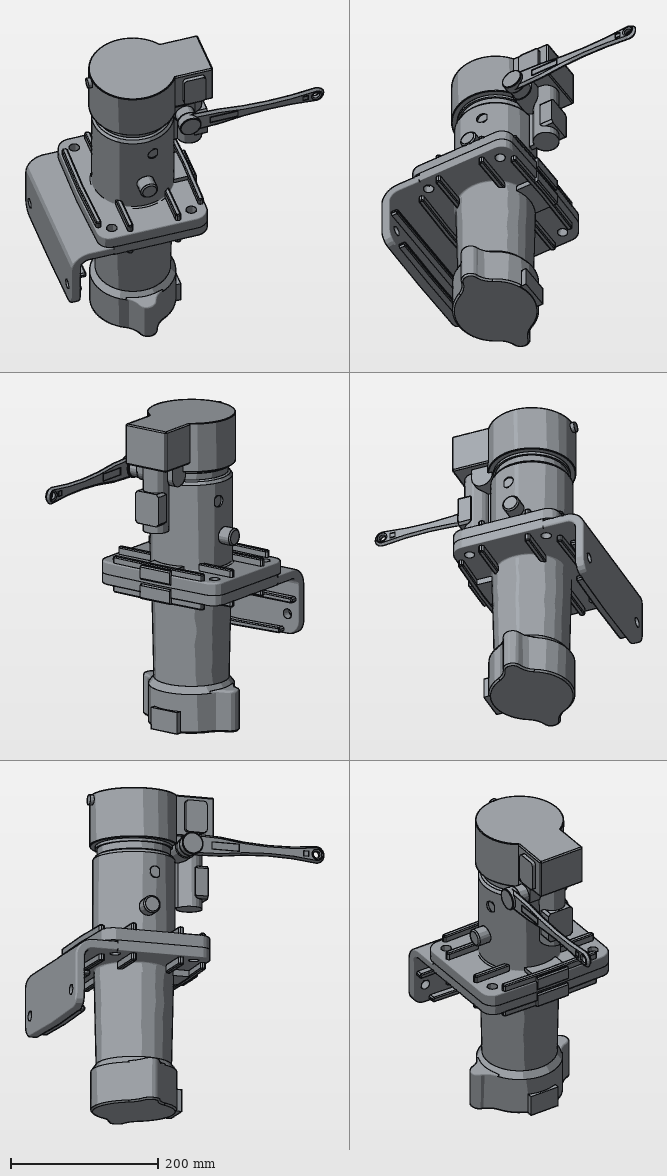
import cadquery as cq
import math

TOTAL_HEIGHT = 439.0
SPLIT_Z = 212.0
FLANGE_TOP_Z = 229.3
FLANGE_BOTTOM_Z = 197.3

FLANGE_HALF_X = 101.5
FLANGE_HALF_Y = 80.5
EDGE_PEAK = 2.0
CORNER_RADIUS = 18.5
TOP_EDGE_FILLET = 2.5
BOTTOM_EDGE_FILLET = 1.0
BOLT_HOLE_DIAMETER = 14.0
BOLT_HALF_X = 82.0
BOLT_HALF_Y = 56.7

RIB_WIDTH = 7.5
RIB_TIP_CHAMFER = 1.5
RIB_END_CHAMFER = 2.2
INNER_RIB_Y = 34.1
INNER_RIB_HALF_X = 96.5
INNER_RIB_HEIGHT = 10.3
OUTER_RIB_INSET = 5.7
OUTER_RIB_HALF_X = 76.0
OUTER_RIB_HEIGHT = 9.2
RIB_ROOT = 3.0

LUG_HALF_X = 25.0
LUG_REAR_Y = 82.7
LUG_CHAMFER = 2.0
UPPER_LUG_Z = (216.0, 235.7)
LOWER_LUG_Z = (188.7, 209.7)

TUBE_RADIUS = 56.0
TUBE_ROOT_FILLET = 2.0
SHOULDER_RADIUS = 53.0
SHOULDER_Z = (350.2, 354.5)
NECK_RADIUS = 50.0
NECK_BOTTOM_Z = 356.3
COLLET_RADIUS = 52.5
COLLET_Z = (366.0, 370.0)
CAP_RADIUS = 60.0
CAP_EDGE = 1.0
TRUNNION_DIAMETER = 24.0
TRUNNION_HALF_LENGTH = 74.0
TRUNNION_CHAMFER = 2.0
TRUNNION_Z = 273.7
RECESS_DIAMETER = 16.0
RECESS_FLOOR_X = 53.0
RECESS_Y = 11.5
RECESS_Z = 324.0
KNOB_DIAMETER = 14.0
KNOB_FRONT_Y = -65.0
KNOB_Z = 430.5

BOX_HALF_X = 34.6
BOX_REAR_Y = 103.5
BOX_BOTTOM_Z = 382.0
BOX_EDGE = 1.8
MOTOR_Y = 80.1
MOTOR_RADIUS = 17.6
MOTOR_WEB_HALF_X = 3.5
BOSS_END_X = -26.0
MOTOR_BOTTOM_Z = 289.5
SIDE_PLATE_CORNER = 5.0
REAR_PLATE_HALF_X = 19.5
REAR_PLATE_Y = (82.0, 100.6)
REAR_PLATE_CHAMFER = 3.5
REAR_PLATE_Z = (301.5, 347.0)
SIDE_PLATE_X = 40.0
SIDE_PLATE_Y = (60.6, 91.6)
SIDE_PLATE_Z = (388.0, 432.0)

LEVER_Z = 366.6
HUB_Y = 62.7
HUB_RADIUS = 15.0
HUB_X = (48.5, 62.3)
HUB_CHAMFER = 1.0
SHAFT_DIAMETER = 26.5
ARM_X = 54.4
ARM_HALF_THICKNESS = 3.6
ARM_BEVEL = 3.0
TIP_RADIUS = 11.7
TIP_Y = 255.1 - TIP_RADIUS
TIP_HOLE_DIAMETER = 9.5
TIP_SINK_DIAMETER = 14.0
TIP_SINK_DEPTH = 1.0
ARM_FLARE = (105.0, 13.5)
ARM_WAIST = (176.0, 7.5)
HUB_POCKET_Y = (92.0, 131.5)
HUB_POCKET_WIDTH = 10.0
TIP_POCKET_Y = (224.5, 232.0)
TIP_POCKET_WIDTH = 7.0
ARM_POCKET_DEPTH = 1.0

LOWER_TUBE_RADIUS = 54.0
LOWER_TUBE_STRAIGHT_Z = 182.0
LOWER_TUBE_ROOT_FILLET = 3.0
TAPER_END = (51.4, 65.0)
FOOT_RADIUS = 58.6
FOOT_TOP_Z = 55.5
FOOT_EDGE = 2.5
LOBE_RADIUS = 13.0
LOBE_TIP_X = 78.3
LOBE_BLEND_RADIUS = 30.0
LOBE_TOP_Z = 58.3
LOBE_TOP_FILLET = 3.5
TAB_HALF_X = 22.0
TAB_REAR_Y = 61.6
TAB_Z = (0.5, 31.0)

BRACKET_THICKNESS = 13.0
BRACKET_FRONT_Y = -120.4
BRACKET_BEND_RADIUS = 25.5
BRACKET_BOTTOM_Z = 112.0
BRACKET_EDGE_FILLET = 2.5
BRACKET_HOLE_Z = 142.3
BRACKET_HOLE_DIAMETER = 13.5
BRACKET_RIB_HEIGHT = 9.5
BRACKET_UPPER_RIB_Z = 165.0

SIDES = (-1, 1)
FLANGE_CORNER_Y = FLANGE_HALF_Y - EDGE_PEAK - CORNER_RADIUS
FLANGE_CORNER_X = FLANGE_HALF_X - CORNER_RADIUS
BRACKET_TOP_Z = FLANGE_BOTTOM_Z + BRACKET_THICKNESS
BRACKET_BACK_Y = BRACKET_FRONT_Y + BRACKET_THICKNESS


def span_box(x_range, y_range, z_range):
    """Block between the given limits along each axis."""
    size = [high - low for low, high in (x_range, y_range, z_range)]
    corner = (x_range[0], y_range[0], z_range[0])
    return cq.Workplane("XY").box(*size, centered=False).translate(corner)


def rod(plane, centre, radius, length):
    """Cylinder that starts at centre and runs along the normal of the plane."""
    return cq.Workplane(plane, origin=centre).circle(radius).extrude(length)


def rounded_plate(bottom_z, top_z):
    """Flange plate with peaked front and rear edges and round corners."""
    end_y = FLANGE_HALF_Y - EDGE_PEAK
    diagonal = CORNER_RADIUS * math.sqrt(0.5)
    mid_x = FLANGE_CORNER_X + diagonal
    mid_y = FLANGE_CORNER_Y + diagonal
    return (
        cq.Workplane("XY", origin=(0, 0, bottom_z))
        .moveTo(0, FLANGE_HALF_Y)
        .lineTo(FLANGE_CORNER_X, end_y)
        .threePointArc((mid_x, mid_y), (FLANGE_HALF_X, FLANGE_CORNER_Y))
        .lineTo(FLANGE_HALF_X, -FLANGE_CORNER_Y)
        .threePointArc((mid_x, -mid_y), (FLANGE_CORNER_X, -end_y))
        .lineTo(0, -FLANGE_HALF_Y)
        .lineTo(-FLANGE_CORNER_X, -end_y)
        .threePointArc((-mid_x, -mid_y), (-FLANGE_HALF_X, -FLANGE_CORNER_Y))
        .lineTo(-FLANGE_HALF_X, FLANGE_CORNER_Y)
        .threePointArc((-mid_x, mid_y), (-FLANGE_CORNER_X, end_y))
        .close()
        .extrude(top_z - bottom_z)
    )


def straight_rib(half_x, height):
    """Rib along X that stands on Z = 0 at Y = 0."""
    rib = span_box((-half_x, half_x), (-RIB_WIDTH / 2, RIB_WIDTH / 2), (-RIB_ROOT, height))
    return rib.edges("|Z").chamfer(RIB_END_CHAMFER).faces(">Z").chamfer(RIB_TIP_CHAMFER)


def peaked_rib(height):
    """Rib parallel to a peaked edge that has its middle at Y = 0 and peaks towards +Y."""
    end_y = -EDGE_PEAK * OUTER_RIB_HALF_X / FLANGE_CORNER_X
    half = RIB_WIDTH / 2
    rib = (
        cq.Workplane("XY", origin=(0, 0, -RIB_ROOT))
        .moveTo(0, half - OUTER_RIB_INSET)
        .lineTo(OUTER_RIB_HALF_X, end_y + half - OUTER_RIB_INSET)
        .lineTo(OUTER_RIB_HALF_X, end_y - half - OUTER_RIB_INSET)
        .lineTo(0, -half - OUTER_RIB_INSET)
        .lineTo(-OUTER_RIB_HALF_X, end_y - half - OUTER_RIB_INSET)
        .lineTo(-OUTER_RIB_HALF_X, end_y + half - OUTER_RIB_INSET)
        .close()
        .extrude(RIB_ROOT + height)
    )
    end_edges = rib.edges("|Z and (<X or >X)")
    return end_edges.chamfer(RIB_END_CHAMFER).faces(">Z").chamfer(RIB_TIP_CHAMFER)


def flange_ribs():
    """The four ribs of one flange, standing upwards on Z = 0."""
    rear_rib = peaked_rib(OUTER_RIB_HEIGHT).translate((0, FLANGE_HALF_Y, 0))
    ribs = rear_rib.union(rear_rib.mirror("XZ"))
    inner_rib = straight_rib(INNER_RIB_HALF_X, INNER_RIB_HEIGHT)
    for side in SIDES:
        ribs = ribs.union(inner_rib.translate((0, side * INNER_RIB_Y, 0)))
    return ribs


def rear_lug(z_range):
    """Block behind the tube that stands out past the rear edge of the flange."""
    lug = span_box((-LUG_HALF_X, LUG_HALF_X), (0, LUG_REAR_Y), z_range)
    return lug.edges(">Y and |X").chamfer(LUG_CHAMFER)


def bolt_holes():
    """Cutters for the four flange bolt holes."""
    return (
        cq.Workplane("XY", origin=(0, 0, FLANGE_BOTTOM_Z))
        .rect(2 * BOLT_HALF_X, 2 * BOLT_HALF_Y, forConstruction=True)
        .vertices()
        .circle(BOLT_HOLE_DIAMETER / 2)
        .extrude(FLANGE_TOP_Z - FLANGE_BOTTOM_Z)
    )


def upper_turning():
    """Tube, neck and cap as one turned shape."""
    root = TUBE_ROOT_FILLET
    root_mid = root * (1 - math.sqrt(0.5))
    return (
        cq.Workplane("XZ")
        .moveTo(0, SPLIT_Z)
        .lineTo(TUBE_RADIUS + root, SPLIT_Z)
        .lineTo(TUBE_RADIUS + root, FLANGE_TOP_Z)
        .threePointArc(
            (TUBE_RADIUS + root_mid, FLANGE_TOP_Z + root_mid),
            (TUBE_RADIUS, FLANGE_TOP_Z + root),
        )
        .lineTo(TUBE_RADIUS, SHOULDER_Z[0])
        .lineTo(SHOULDER_RADIUS, SHOULDER_Z[1])
        .lineTo(NECK_RADIUS, NECK_BOTTOM_Z)
        .lineTo(NECK_RADIUS, COLLET_Z[0])
        .lineTo(COLLET_RADIUS, COLLET_Z[0])
        .lineTo(COLLET_RADIUS, COLLET_Z[1])
        .lineTo(CAP_RADIUS - CAP_EDGE, COLLET_Z[1])
        .lineTo(CAP_RADIUS, COLLET_Z[1] + CAP_EDGE)
        .lineTo(CAP_RADIUS, TOTAL_HEIGHT - CAP_EDGE)
        .lineTo(CAP_RADIUS - CAP_EDGE, TOTAL_HEIGHT)
        .lineTo(0, TOTAL_HEIGHT)
        .close()
        .revolve(360, (0, 0, 0), (0, 1, 0))
    )


def trunnions():
    """Two round pegs on the X axis of the tube."""
    length = 2 * TRUNNION_HALF_LENGTH
    peg = rod("YZ", (-TRUNNION_HALF_LENGTH, 0, TRUNNION_Z), TRUNNION_DIAMETER / 2, length)
    return peg.faces("<X or >X").chamfer(TRUNNION_CHAMFER)


def side_recess(side):
    """Cutter for the shallow flat-floored recess on one side of the tube."""
    depth = TUBE_RADIUS - RECESS_FLOOR_X
    centre = (side * RECESS_FLOOR_X, RECESS_Y, RECESS_Z)
    return rod("YZ", centre, RECESS_DIAMETER / 2, side * depth)


def cap_knob():
    """Small round stud on the front of the cap."""
    return rod("XZ", (0, 0, KNOB_Z), KNOB_DIAMETER / 2, -KNOB_FRONT_Y)


def drive_box():
    """Box behind the cap."""
    box = span_box((-BOX_HALF_X, BOX_HALF_X), (0, BOX_REAR_Y), (BOX_BOTTOM_Z, TOTAL_HEIGHT))
    return box.edges("(>Z or <Z or >Y) and (not <Y)").chamfer(BOX_EDGE)


def motor():
    """Upright motor below the box, joined to the tube by a web."""
    height = BOX_BOTTOM_Z - MOTOR_BOTTOM_Z
    shell = rod("XY", (0, MOTOR_Y, MOTOR_BOTTOM_Z), MOTOR_RADIUS, height)
    web = span_box(
        (-MOTOR_WEB_HALF_X, MOTOR_WEB_HALF_X),
        (0, MOTOR_Y),
        (MOTOR_BOTTOM_Z, BOX_BOTTOM_Z),
    )
    return shell.union(web)


def shaft_boss():
    """U-shaped boss across the motor that carries the lever shaft."""
    boss = rod("YZ", (BOSS_END_X, HUB_Y, LEVER_Z), HUB_RADIUS, BOX_HALF_X - BOSS_END_X)
    neck = span_box(
        (BOSS_END_X, BOX_HALF_X),
        (HUB_Y - HUB_RADIUS, HUB_Y + HUB_RADIUS),
        (LEVER_Z, BOX_BOTTOM_Z),
    )
    shaft = rod("YZ", (0, HUB_Y, LEVER_Z), SHAFT_DIAMETER / 2, HUB_X[0])
    return boss.union(neck).union(shaft)


def cover_plates():
    """Chamfered block behind the motor and round-cornered plate on the +X side of the box."""
    rear = span_box((-REAR_PLATE_HALF_X, REAR_PLATE_HALF_X), REAR_PLATE_Y, REAR_PLATE_Z)
    rear = rear.edges("|Y or (|X and <Y)").chamfer(REAR_PLATE_CHAMFER)
    side = span_box((0, SIDE_PLATE_X), SIDE_PLATE_Y, SIDE_PLATE_Z)
    return rear.union(side.edges("|X").fillet(SIDE_PLATE_CORNER))


def make_upper_housing():
    plate = rounded_plate(SPLIT_Z, FLANGE_TOP_Z).faces(">Z").edges().fillet(TOP_EDGE_FILLET)
    ribs = flange_ribs().translate((0, 0, FLANGE_TOP_Z))
    body = plate.union(ribs).union(rear_lug(UPPER_LUG_Z)).union(upper_turning())
    for feature in (trunnions(), cap_knob(), drive_box(), motor(), shaft_boss(), cover_plates()):
        body = body.union(feature)
    for side in SIDES:
        body = body.cut(side_recess(side))
    return body.cut(bolt_holes())


def lower_turning():
    """Tapered tube and the round part of the foot as one turned shape."""
    root = LOWER_TUBE_ROOT_FILLET
    root_mid = root * (1 - math.sqrt(0.5))
    tube = LOWER_TUBE_RADIUS
    return (
        cq.Workplane("XZ")
        .moveTo(0, SPLIT_Z)
        .lineTo(tube + root, SPLIT_Z)
        .lineTo(tube + root, FLANGE_BOTTOM_Z)
        .threePointArc((tube + root_mid, FLANGE_BOTTOM_Z - root_mid), (tube, FLANGE_BOTTOM_Z - root))
        .lineTo(tube, LOWER_TUBE_STRAIGHT_Z)
        .lineTo(*TAPER_END)
        .lineTo(FOOT_RADIUS, FOOT_TOP_Z)
        .lineTo(FOOT_RADIUS, FOOT_EDGE)
        .lineTo(FOOT_RADIUS - FOOT_EDGE, 0)
        .lineTo(0, 0)
        .close()
        .revolve(360, (0, 0, 0), (0, 1, 0))
    )


def foot_lobe():
    """Round lobe on the +X side of the foot, blended into the foot by hollow arcs."""
    lobe_x = LOBE_TIP_X - LOBE_RADIUS
    to_foot = FOOT_RADIUS + LOBE_BLEND_RADIUS
    to_lobe = LOBE_RADIUS + LOBE_BLEND_RADIUS
    blend_x = (to_foot**2 - to_lobe**2 + lobe_x**2) / (2 * lobe_x)
    blend_y = math.sqrt(to_foot**2 - blend_x**2)
    foot_point = (blend_x * FOOT_RADIUS / to_foot, blend_y * FOOT_RADIUS / to_foot)
    lobe_ratio = LOBE_RADIUS / to_lobe
    lobe_point = (lobe_x + (blend_x - lobe_x) * lobe_ratio, blend_y * lobe_ratio)
    chord_mid_x = (foot_point[0] + lobe_point[0]) / 2 - blend_x
    chord_mid_y = (foot_point[1] + lobe_point[1]) / 2 - blend_y
    reach = LOBE_BLEND_RADIUS / math.hypot(chord_mid_x, chord_mid_y)
    blend_mid = (blend_x + chord_mid_x * reach, blend_y + chord_mid_y * reach)
    lobe = (
        cq.Workplane("XY")
        .moveTo(0, foot_point[1])
        .lineTo(*foot_point)
        .threePointArc(blend_mid, lobe_point)
        .threePointArc((LOBE_TIP_X, 0), (lobe_point[0], -lobe_point[1]))
        .threePointArc((blend_mid[0], -blend_mid[1]), (foot_point[0], -foot_point[1]))
        .lineTo(0, -foot_point[1])
        .close()
        .extrude(LOBE_TOP_Z)
    )
    lobe = lobe.faces(">Z").edges("not <X").fillet(LOBE_TOP_FILLET)
    return lobe.faces("<Z").edges("not <X").chamfer(FOOT_EDGE)


def foot_tab():
    """Flat tab on the rear of the foot."""
    return span_box((-TAB_HALF_X, TAB_HALF_X), (0, TAB_REAR_Y), TAB_Z)


def bracket():
    """Plate that runs forward from the flange and bends down, with a peaked lower edge."""
    inner_bend = BRACKET_BEND_RADIUS - BRACKET_THICKNESS
    bend_y = BRACKET_FRONT_Y + BRACKET_BEND_RADIUS
    bend_z = BRACKET_TOP_Z - BRACKET_BEND_RADIUS
    diagonal = math.sqrt(0.5)
    strip = (
        cq.Workplane("YZ", origin=(-FLANGE_HALF_X, 0, 0))
        .moveTo(-FLANGE_CORNER_Y, BRACKET_TOP_Z)
        .lineTo(bend_y, BRACKET_TOP_Z)
        .threePointArc(
            (bend_y - BRACKET_BEND_RADIUS * diagonal, bend_z + BRACKET_BEND_RADIUS * diagonal),
            (BRACKET_FRONT_Y, bend_z),
        )
        .lineTo(BRACKET_FRONT_Y, BRACKET_BOTTOM_Z)
        .lineTo(BRACKET_BACK_Y, BRACKET_BOTTOM_Z)
        .lineTo(BRACKET_BACK_Y, bend_z)
        .threePointArc(
            (bend_y - inner_bend * diagonal, bend_z + inner_bend * diagonal),
            (bend_y, FLANGE_BOTTOM_Z),
        )
        .lineTo(-FLANGE_CORNER_Y, FLANGE_BOTTOM_Z)
        .close()
        .extrude(2 * FLANGE_HALF_X)
    )
    end_z = BRACKET_BOTTOM_Z + EDGE_PEAK
    corner_z = end_z + CORNER_RADIUS
    slant = CORNER_RADIUS * (1 - diagonal)
    outline = (
        cq.Workplane("XZ")
        .moveTo(-FLANGE_HALF_X, BRACKET_TOP_Z)
        .lineTo(FLANGE_HALF_X, BRACKET_TOP_Z)
        .lineTo(FLANGE_HALF_X, corner_z)
        .threePointArc((FLANGE_HALF_X - slant, end_z + slant), (FLANGE_CORNER_X, end_z))
        .lineTo(0, BRACKET_BOTTOM_Z)
        .lineTo(-FLANGE_CORNER_X, end_z)
        .threePointArc((slant - FLANGE_HALF_X, end_z + slant), (-FLANGE_HALF_X, corner_z))
        .close()
        .extrude(-BRACKET_FRONT_Y)
    )
    plate = strip.intersect(outline)
    plate = plate.faces("<Y").edges("not >Z").fillet(BRACKET_EDGE_FILLET)
    back_face = cq.selectors.NearestToPointSelector((0, BRACKET_BACK_Y, BRACKET_HOLE_Z))
    return plate.faces(back_face).edges("not >Z").fillet(BRACKET_EDGE_FILLET)


def bracket_ribs():
    """Two ribs on the back of the hanging part of the bracket."""
    lower = peaked_rib(BRACKET_RIB_HEIGHT).rotate((0, 0, 0), (1, 0, 0), -90)
    upper = straight_rib(INNER_RIB_HALF_X, BRACKET_RIB_HEIGHT).rotate((0, 0, 0), (1, 0, 0), -90)
    lower = lower.translate((0, BRACKET_BACK_Y, BRACKET_BOTTOM_Z))
    return lower.union(upper.translate((0, BRACKET_BACK_Y, BRACKET_UPPER_RIB_Z)))


def bracket_holes():
    """Cutters for the two holes in the hanging part of the bracket."""
    start_y = BRACKET_BACK_Y + BRACKET_RIB_HEIGHT
    return (
        cq.Workplane("XZ", origin=(0, start_y, BRACKET_HOLE_Z))
        .pushPoints([(side * BOLT_HALF_X, 0) for side in SIDES])
        .circle(BRACKET_HOLE_DIAMETER / 2)
        .extrude(start_y - BRACKET_FRONT_Y)
    )


def make_lower_housing():
    plate = rounded_plate(FLANGE_BOTTOM_Z, SPLIT_Z)
    behind_bracket = span_box(
        (-FLANGE_HALF_X, FLANGE_HALF_X),
        (-FLANGE_CORNER_Y, LUG_REAR_Y),
        (FLANGE_BOTTOM_Z, SPLIT_Z),
    )
    plate = plate.intersect(behind_bracket)
    plate = plate.faces("<Z").edges("not <Y").fillet(BOTTOM_EDGE_FILLET)
    ribs = flange_ribs().mirror("XY").translate((0, 0, FLANGE_BOTTOM_Z))
    body = plate.union(bracket()).union(ribs).union(bracket_ribs())
    lobe = foot_lobe()
    for feature in (rear_lug(LOWER_LUG_Z), lower_turning(), lobe, lobe.mirror("YZ"), foot_tab()):
        body = body.union(feature)
    return body.cut(bolt_holes()).cut(bracket_holes())


def arm_half(side):
    """Half of the arm on one side of its middle plane, with a bevelled outline."""
    flare_y, flare_half = ARM_FLARE
    waist_y, waist_half = ARM_WAIST
    outline = (
        cq.Workplane("YZ", origin=(ARM_X, 0, LEVER_Z))
        .moveTo(HUB_Y, HUB_RADIUS)
        .lineTo(flare_y, flare_half)
        .threePointArc((waist_y, waist_half), (TIP_Y, TIP_RADIUS))
        .threePointArc((TIP_Y + TIP_RADIUS, 0), (TIP_Y, -TIP_RADIUS))
        .threePointArc((waist_y, -waist_half), (flare_y, -flare_half))
        .lineTo(HUB_Y, -HUB_RADIUS)
        .close()
    )
    taper = math.degrees(math.atan2(ARM_BEVEL, ARM_HALF_THICKNESS))
    return outline.extrude(side * ARM_HALF_THICKNESS, taper=taper)


def arm_pocket(side, y_range, width):
    """Cutter for a shallow flat pocket on one face of the arm."""
    start_y, end_y = y_range
    face_x = ARM_X + side * ARM_HALF_THICKNESS
    return (
        cq.Workplane("YZ", origin=(face_x, (start_y + end_y) / 2, LEVER_Z))
        .rect(end_y - start_y, width)
        .extrude(-side * ARM_POCKET_DEPTH)
    )


def tip_hole():
    """Cutter for the through hole at the arm tip, countersunk on both faces."""
    radius = TIP_HOLE_DIAMETER / 2
    face = ARM_HALF_THICKNESS
    profile = (
        cq.Workplane("YX", origin=(ARM_X, TIP_Y, LEVER_Z))
        .moveTo(0, -face)
        .lineTo(TIP_SINK_DIAMETER / 2, -face)
        .lineTo(radius, TIP_SINK_DEPTH - face)
        .lineTo(radius, face - TIP_SINK_DEPTH)
        .lineTo(TIP_SINK_DIAMETER / 2, face)
        .lineTo(0, face)
        .close()
    )
    return profile.revolve(360, (0, 0, 0), (0, 1, 0))


def make_lever():
    hub = rod("YZ", (HUB_X[0], HUB_Y, LEVER_Z), HUB_RADIUS, HUB_X[1] - HUB_X[0])
    body = hub.faces("<X or >X").chamfer(HUB_CHAMFER)
    for side in SIDES:
        body = body.union(arm_half(side))
    for side in SIDES:
        body = body.cut(arm_pocket(side, HUB_POCKET_Y, HUB_POCKET_WIDTH))
        body = body.cut(arm_pocket(side, TIP_POCKET_Y, TIP_POCKET_WIDTH))
    return body.cut(tip_hole())


upper_housing = make_upper_housing()
lower_housing = make_lower_housing()
lever = make_lever()

result = cq.Compound.makeCompound(
    [upper_housing.solids().val(), lower_housing.solids().val(), lever.solids().val()]
)